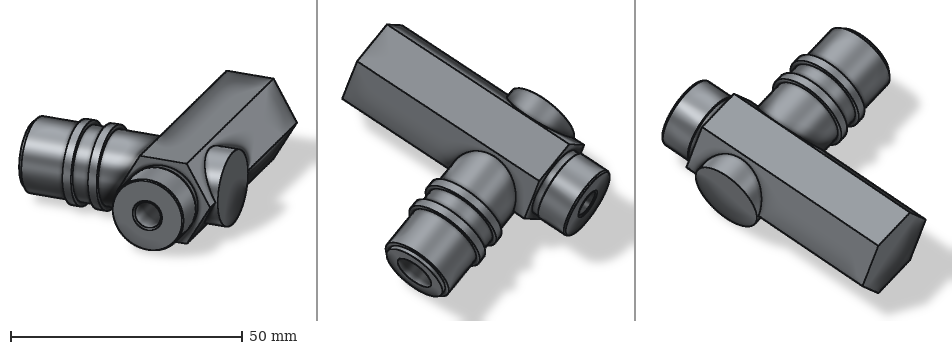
import cadquery as cq
import math


hex_across_flats = 19.0
hex_front_y = -11.5
hex_back_y = 37.33
hex_across_corners = hex_across_flats / math.cos(math.radians(30))

stud_diameter = 16.66
stud_front_y = -20.5
front_taper_length = 0.4
back_taper_length = 0.13
neck_diameter = 16.2
neck_length = 1.6

spigot_diameter = 17.0
spigot_left_x = -35.5
spigot_right_x = 11.5
nose_diameter = 15.0
nose_length = 1.0

bore_diameter = 6.0
countersink_diameter = 6.9
countersink_angle = 120.0
socket_diameter = 9.0
socket_depth = 20.0

ring_outer_diameter = 19.0
ring_width = 2.0
ring_pitch = 6.0
first_ring_x = -24.5
ring_count = 2


def cylinder_x(diameter, start, end):
    """Cylinder on the X axis between two X positions."""
    return cq.Workplane("YZ").workplane(offset=start).circle(diameter / 2).extrude(end - start)


def cylinder_y(diameter, start, end):
    """Cylinder on the Y axis between two Y positions."""
    return cq.Workplane("XZ").workplane(offset=-end).circle(diameter / 2).extrude(end - start)


def make_hex_bar():
    """Hexagonal bar with corners on the +X and -X sides."""
    return (
        cq.Workplane("XZ")
        .workplane(offset=-hex_back_y)
        .polygon(6, hex_across_corners)
        .extrude(hex_back_y - hex_front_y)
    )


def make_stud():
    """Stud turned about Y: a neck against the bar, then a thread with both ends tapered to the neck size."""
    neck_radius = neck_diameter / 2
    stud_radius = stud_diameter / 2
    thread_back_y = hex_front_y - neck_length
    profile = [
        (0, hex_front_y),
        (neck_radius, hex_front_y),
        (neck_radius, thread_back_y),
        (stud_radius, thread_back_y - back_taper_length),
        (stud_radius, stud_front_y + front_taper_length),
        (neck_radius, stud_front_y),
        (0, stud_front_y),
    ]
    return cq.Workplane("XY").polyline(profile).close().revolve(360, (0, 0, 0), (0, 1, 0))


def make_spigot():
    """Plain round spigot with a smaller nose at its open end."""
    shoulder_x = spigot_left_x + nose_length
    nose = cylinder_x(nose_diameter, spigot_left_x, shoulder_x)
    return nose.union(cylinder_x(spigot_diameter, shoulder_x, spigot_right_x))


def make_countersink():
    """Cone that opens the stud bore at the front face."""
    outer_radius = countersink_diameter / 2
    inner_radius = bore_diameter / 2
    depth = (outer_radius - inner_radius) / math.tan(math.radians(countersink_angle / 2))
    front_center = cq.Vector(0, stud_front_y, 0)
    inward = cq.Vector(0, 1, 0)
    return cq.Workplane(cq.Solid.makeCone(outer_radius, inner_radius, depth, front_center, inward))


def make_passage():
    """Elbow of two equal bores, widened to a socket in the spigot and countersunk in the stud."""
    radius = bore_diameter / 2
    spigot_bore = cylinder_x(bore_diameter, spigot_left_x, 0)
    stud_bore = cylinder_y(bore_diameter, stud_front_y, 0)
    corner = cylinder_x(bore_diameter, -radius, radius).intersect(cylinder_y(bore_diameter, -radius, radius))
    socket = cylinder_x(socket_diameter, spigot_left_x, spigot_left_x + socket_depth)
    return spigot_bore.union(stud_bore).union(corner).union(socket).union(make_countersink())


def make_body():
    return make_hex_bar().union(make_spigot()).union(make_stud()).cut(make_passage())


def make_ring(start_x):
    """Flat ring fitted closely around the spigot."""
    end_x = start_x + ring_width
    return cylinder_x(ring_outer_diameter, start_x, end_x).cut(cylinder_x(spigot_diameter, start_x, end_x))


body = make_body()
rings = [make_ring(first_ring_x + index * ring_pitch) for index in range(ring_count)]

result = cq.Compound.makeCompound([body.solids().val(), *[ring.val() for ring in rings]])